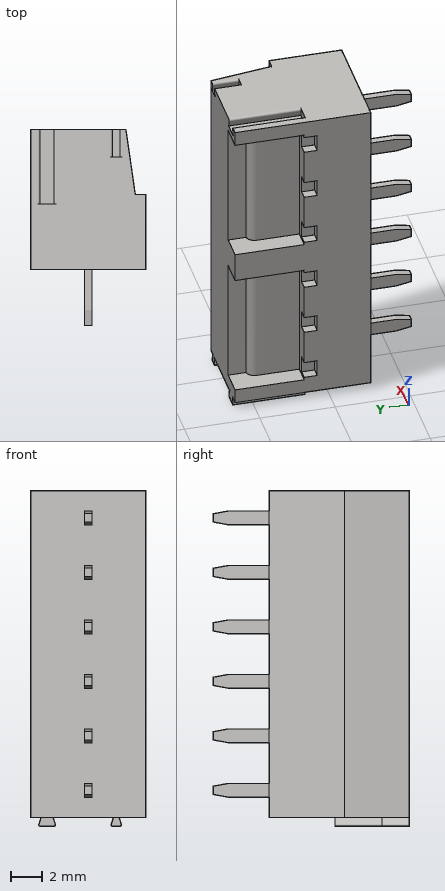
import cadquery as cq
import math


overall_height = 21.55
pin_count = 6
width = 7.4
depth = 9.0
height = 21.0
pitch = height / pin_count
left = -width / 2
right = width / 2

setback_length = 4.18
setback_width = 0.67
draft_width = 0.6

pin_length = 3.6
pin_width = 0.5
pin_height = 0.9
pin_tip_height = 0.54
pin_taper_length = 1.0

recess_count = 2
recess_length = 4.6
recess_wall = 1.0
recess_rib = 2.0
recess_height = (height - 2 * recess_wall - (recess_count - 1) * recess_rib) / recess_count
deep_floor = 1.75
deep_length = 1.19
shallow_floor = 1.25
round_length = 0.58
round_radius = 0.58

notch_length = 0.86
notch_height = 1.15
notch_depth = 0.65

dovetail_height = overall_height - height
dovetail_flare = 0.17
rib_tip_radius = 0.09
groove_mouth_radius = 0.13
wide_dovetail = {"center": left + 1.05, "neck": 0.8, "length": 4.78}
narrow_dovetail = {"center": left + 5.5, "neck": 0.39, "length": 1.77}


def make_housing():
    outline = [
        (left, 0),
        (right, 0),
        (right, depth - setback_length),
        (right - setback_width, depth - setback_length),
        (right - setback_width - draft_width, depth),
        (left, depth),
    ]
    return cq.Workplane("XY").polyline(outline).close().extrude(height)


def make_pin(z):
    half_root = pin_height / 2
    half_tip = pin_tip_height / 2
    taper_start = pin_taper_length - pin_length
    outline = [
        (0, z - half_root),
        (taper_start, z - half_root),
        (-pin_length, z - half_tip),
        (-pin_length, z + half_tip),
        (taper_start, z + half_root),
        (0, z + half_root),
    ]
    return cq.Workplane("YZ").polyline(outline).close().extrude(pin_width / 2, both=True)


def make_recess(z_bottom):
    round_start = depth - deep_length
    round_end = round_start - round_length
    return (
        cq.Workplane("XY", origin=(0, 0, z_bottom))
        .moveTo(left, depth)
        .lineTo(left + deep_floor, depth)
        .lineTo(left + deep_floor, round_start)
        .radiusArc((left + shallow_floor, round_end), -round_radius)
        .lineTo(left + shallow_floor, depth - recess_length)
        .lineTo(left, depth - recess_length)
        .close()
        .extrude(recess_height)
    )


def make_notch(z):
    notch = cq.Workplane("XY").box(notch_depth, notch_length, notch_height, centered=(False, False, True))
    return notch.translate((left, depth - recess_length - notch_length, z))


def make_rib(center, neck, length):
    half_neck = neck / 2
    half_tip = half_neck + dovetail_flare
    outline = [
        (center - half_neck, 0),
        (center - half_tip, -dovetail_height),
        (center + half_tip, -dovetail_height),
        (center + half_neck, 0),
    ]
    rib = cq.Workplane("XZ", origin=(0, depth, 0)).polyline(outline).close().extrude(length)
    return rib.faces("<Z").edges("|Y").fillet(rib_tip_radius)


def make_groove(center, neck, length):
    half_neck = neck / 2
    half_floor = half_neck + dovetail_flare
    floor_z = height - dovetail_height
    lean = math.atan2(dovetail_flare, dovetail_height)
    tangent_length = groove_mouth_radius / math.tan((math.pi / 2 - lean) / 2)
    half_mouth = half_neck + tangent_length
    half_flank_top = half_neck + tangent_length * math.sin(lean)
    flank_top_z = height - tangent_length * math.cos(lean)
    return (
        cq.Workplane("XZ", origin=(0, depth, 0))
        .moveTo(center - half_mouth, height)
        .radiusArc((center - half_flank_top, flank_top_z), groove_mouth_radius)
        .lineTo(center - half_floor, floor_z)
        .lineTo(center + half_floor, floor_z)
        .lineTo(center + half_flank_top, flank_top_z)
        .radiusArc((center + half_mouth, height), groove_mouth_radius)
        .close()
        .extrude(length)
    )


result = make_housing()

for index in range(recess_count):
    result = result.cut(make_recess(recess_wall + index * (recess_height + recess_rib)))

for index in range(pin_count):
    pin_z = (index + 0.5) * pitch
    result = result.union(make_pin(pin_z)).cut(make_notch(pin_z))

for dovetail in (wide_dovetail, narrow_dovetail):
    result = result.union(make_rib(**dovetail)).cut(make_groove(**dovetail))